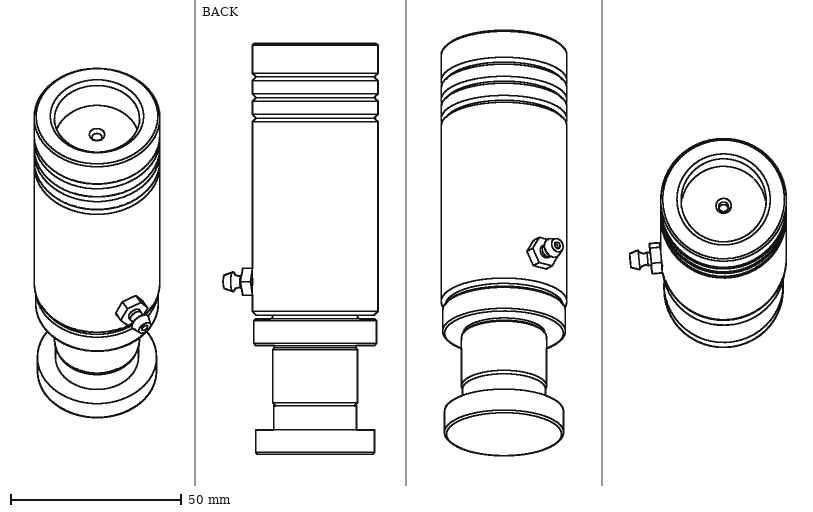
import cadquery as cq
import math

total_height = 120.7
foot_height = 14.2
collar_base_z = 32.0
collar_height = 7.8
bush_base_z = 40.8

foot_diameter = 35.0
foot_disc_height = 7.2
foot_neck_diameter = 24.4
foot_chamfer = 0.6

pillar_diameter = 25.0
pillar_top_z = 112.2
pillar_top_fillet = 3.0
pillar_end_chamfer = 1.0
collar_diameter = 36.1
collar_chamfer = 0.6
collar_root_fillet = 0.7
relief_diameter = 24.0
relief_height = 0.7
relief_chamfer = (pillar_diameter - relief_diameter) / 2
centre_hole_diameter = 2.9
centre_hole_depth = 4.8
countersink_diameter = 4.5
countersink_angle = 60.0

bush_diameter = 37.0
bush_top_chamfer = 0.6
bush_base_chamfer = 1.2
bore_chamfer = 1.2
groove_depth = 1.1
groove_pitch = 6.0
groove_count = 3
top_groove_z = 110.8

nipple_angle = -15.5
nipple_z = 50.7
hex_across_flats = 8.0
hex_thickness = 3.0
nipple_stem_diameter = 4.8
nipple_neck_diameter = 3.9
nipple_neck_length = 1.0
nipple_head_diameter = 5.8
nipple_head_flare = 2.5
nipple_waist_diameter = 3.6
nipple_tip_diameter = 4.1
nipple_length = 9.0
nipple_port_diameter = 1.9
nipple_port_depth = 1.2

pillar_radius = pillar_diameter / 2
bush_radius = bush_diameter / 2


def revolve_about_z(profile):
    """Revolve a closed XZ-plane profile a full turn about the Z axis."""
    return profile.close().revolve(360, (0, 0, 0), (0, 1, 0))


def make_foot():
    disc = cq.Workplane("XY").circle(foot_diameter / 2).extrude(foot_disc_height)
    disc = disc.faces("<Z").edges().chamfer(foot_chamfer)
    neck = cq.Workplane("XY").circle(foot_neck_diameter / 2).extrude(foot_height)
    return disc.union(neck)


def cut_centre_hole(pillar):
    """Drill the countersunk centre hole, with a conical bottom, into the pillar top."""
    hole_radius = centre_hole_diameter / 2
    sink_radius = countersink_diameter / 2
    sink_depth = (sink_radius - hole_radius) / math.tan(math.radians(countersink_angle / 2))
    hole_base_z = pillar_top_z - centre_hole_depth
    drill = revolve_about_z(
        cq.Workplane("XZ")
        .moveTo(0, pillar_top_z)
        .lineTo(sink_radius, pillar_top_z)
        .lineTo(hole_radius, pillar_top_z - sink_depth)
        .lineTo(hole_radius, hole_base_z)
        .lineTo(0, hole_base_z - hole_radius)
    )
    return pillar.cut(drill)


def make_pillar():
    collar_top_z = collar_base_z + collar_height
    collar_radius = collar_diameter / 2
    relief_radius = relief_diameter / 2
    relief_base_z = collar_base_z - relief_height
    fillet_sag = collar_root_fillet * (1 - math.sqrt(0.5))
    top_arc_sag = pillar_top_fillet * (1 - math.sqrt(0.5))
    pillar = revolve_about_z(
        cq.Workplane("XZ")
        .moveTo(0, foot_height)
        .lineTo(pillar_radius - pillar_end_chamfer, foot_height)
        .lineTo(pillar_radius, foot_height + pillar_end_chamfer)
        .lineTo(pillar_radius, relief_base_z - relief_chamfer)
        .lineTo(relief_radius, relief_base_z)
        .lineTo(relief_radius, collar_base_z)
        .lineTo(collar_radius - collar_chamfer, collar_base_z)
        .lineTo(collar_radius, collar_base_z + collar_chamfer)
        .lineTo(collar_radius, collar_top_z - collar_chamfer)
        .lineTo(collar_radius - collar_chamfer, collar_top_z)
        .lineTo(pillar_radius + collar_root_fillet, collar_top_z)
        .threePointArc(
            (pillar_radius + fillet_sag, collar_top_z + fillet_sag),
            (pillar_radius, collar_top_z + collar_root_fillet),
        )
        .lineTo(pillar_radius, pillar_top_z - pillar_top_fillet)
        .threePointArc(
            (pillar_radius - top_arc_sag, pillar_top_z - top_arc_sag),
            (pillar_radius - pillar_top_fillet, pillar_top_z),
        )
        .lineTo(0, pillar_top_z)
    )
    return cut_centre_hole(pillar)


def make_groove(centre_z):
    """V-shaped ring that cuts a 90 degree groove into the outside of the bush."""
    return revolve_about_z(
        cq.Workplane("XZ")
        .moveTo(bush_radius - groove_depth, centre_z)
        .lineTo(bush_radius, centre_z - groove_depth)
        .lineTo(bush_radius, centre_z + groove_depth)
    )


def make_nipple_stem():
    """Cylinder from the bush axis to the bush surface, along the nipple axis."""
    stem = cq.Workplane("YZ").circle(nipple_stem_diameter / 2).extrude(bush_radius)
    return place_nipple(stem)


def place_nipple(shape):
    """Lift a shape built along +X to the nipple height and turn it about Z."""
    return shape.translate((0, 0, nipple_z)).rotate((0, 0, 0), (0, 0, 1), nipple_angle)


def make_bore():
    return cq.Workplane("XY").circle(pillar_radius).extrude(total_height)


def make_bush():
    bush = (
        cq.Workplane("XY")
        .workplane(offset=bush_base_z)
        .circle(bush_radius)
        .extrude(total_height - bush_base_z)
    )
    bush = bush.faces("<Z").edges().chamfer(bush_base_chamfer)
    bush = bush.faces(">Z").edges().chamfer(bush_top_chamfer)
    bush = bush.cut(make_bore())
    bore_rim = cq.selectors.RadiusNthSelector(0)
    bush = bush.faces(">Z").edges(bore_rim).chamfer(bore_chamfer)
    for index in range(groove_count):
        bush = bush.cut(make_groove(top_groove_z - index * groove_pitch))
    return bush.cut(make_nipple_stem())


def make_hex():
    """Hexagon with its base on the bush surface and flats facing up and down."""
    corner_diameter = 2 * hex_across_flats / math.sqrt(3)
    return (
        cq.Workplane("YZ")
        .workplane(offset=bush_radius)
        .polygon(6, corner_diameter)
        .extrude(hex_thickness)
    )


def make_nipple_head():
    """Round neck with a concave flare into a tapered head, with a blind port in its tip."""
    neck_radius = nipple_neck_diameter / 2
    neck_start_x = bush_radius + hex_thickness
    flare_start_x = neck_start_x + nipple_neck_length
    flare_end_x = flare_start_x + nipple_head_flare
    flare_middle_x = (flare_start_x + flare_end_x) / 2
    tip_x = bush_radius + nipple_length
    port_radius = nipple_port_diameter / 2
    port_base_x = tip_x - nipple_port_depth
    return (
        cq.Workplane("XY")
        .moveTo(neck_start_x, 0)
        .lineTo(neck_start_x, neck_radius)
        .lineTo(flare_start_x, neck_radius)
        .threePointArc(
            (flare_middle_x, nipple_waist_diameter / 2),
            (flare_end_x, nipple_head_diameter / 2),
        )
        .lineTo(tip_x, nipple_tip_diameter / 2)
        .lineTo(tip_x, port_radius)
        .lineTo(port_base_x, port_radius)
        .lineTo(port_base_x, 0)
        .close()
        .revolve(360, (0, 0, 0), (1, 0, 0))
    )


def make_nipple():
    nipple = place_nipple(make_hex().union(make_nipple_head()))
    return nipple.union(make_nipple_stem().cut(make_bore()))


foot = make_foot()
pillar = make_pillar()
bush = make_bush()
grease_nipple = make_nipple()

result = cq.Compound.makeCompound([foot.val(), pillar.val(), bush.val(), grease_nipple.val()])